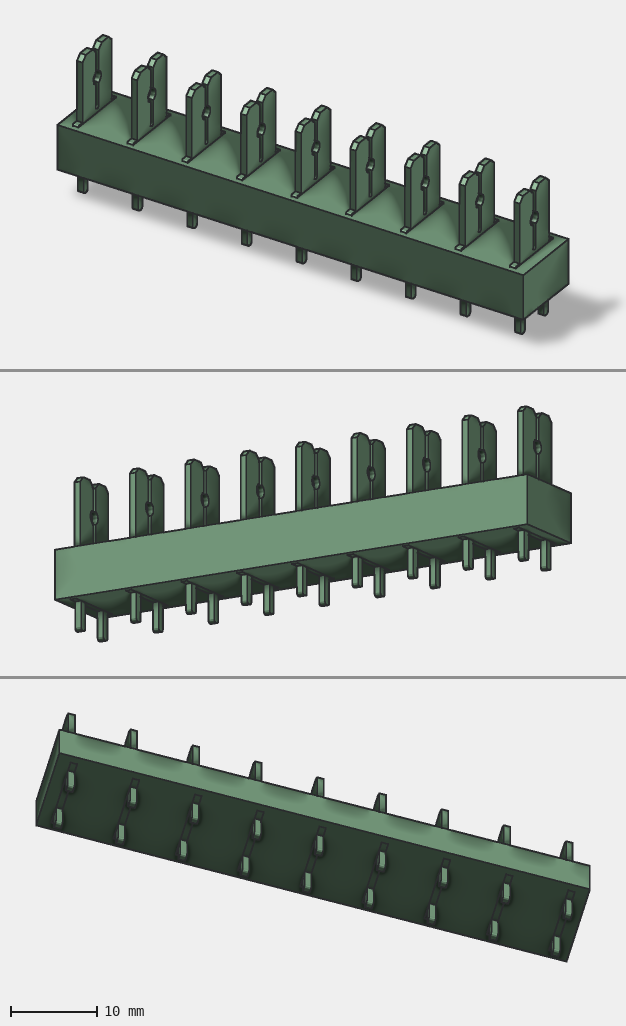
import cadquery as cq

housing_length = 64.0
housing_width = 9.8
housing_height = 6.0

contact_count = 9
end_margin = 2.0
contact_half_thickness = 0.4

shoulder_width = 8.1
shoulder_rise = 0.2
shoulder_corner_radius = 0.2

blade_width = 6.35
blade_rise = 8.95
blade_chamfer = 0.7
slit_width = 0.6
slit_floor_rise = 0.5
detent_diameter = 1.65
detent_rise = 4.7

tail_width = 0.95
tail_spacing = 5.0
tail_drop = 3.5
tail_corner_radius = 0.4

shoulder_top = housing_height + shoulder_rise
blade_top = housing_height + blade_rise
slit_floor = housing_height + slit_floor_rise
first_contact_x = end_margin - housing_length / 2
contact_pitch = (housing_length - 2 * end_margin) / (contact_count - 1)
contact_positions = [first_contact_x + index * contact_pitch for index in range(contact_count)]


def contact_plate(outline):
    """Extrude an outline drawn in Y and Z to the contact thickness, centred on X = 0."""
    return outline.extrude(contact_half_thickness, both=True)


def make_shoulder():
    """Plate that fills the housing slot and stands slightly proud of it, with rounded top corners."""
    outline = cq.Workplane("YZ").center(0, shoulder_top / 2).rect(shoulder_width, shoulder_top)
    return contact_plate(outline).edges("|X and >Z").fillet(shoulder_corner_radius)


def make_prong(side):
    """One half of the blade, on the side of the slit given by +1 or -1, with its tip chamfered."""
    inner = side * slit_width / 2
    outer = side * blade_width / 2
    chamfer = side * blade_chamfer
    outline = (
        cq.Workplane("YZ")
        .moveTo(inner, shoulder_top)
        .lineTo(outer, shoulder_top)
        .lineTo(outer, blade_top - blade_chamfer)
        .lineTo(outer - chamfer, blade_top)
        .lineTo(inner + chamfer, blade_top)
        .lineTo(inner, blade_top - blade_chamfer)
        .close()
    )
    return contact_plate(outline)


def make_slit_root():
    """Strip that joins the two prongs and closes the slit with a round floor."""
    half_slit = slit_width / 2
    arc_ends_height = slit_floor + half_slit
    outline = (
        cq.Workplane("YZ")
        .moveTo(-half_slit, shoulder_top)
        .lineTo(half_slit, shoulder_top)
        .lineTo(half_slit, arc_ends_height)
        .threePointArc((0, slit_floor), (-half_slit, arc_ends_height))
        .close()
    )
    return contact_plate(outline)


def make_detent_hole():
    """Round hole through the blade, centred on the slit."""
    outline = cq.Workplane("YZ").center(0, housing_height + detent_rise).circle(detent_diameter / 2)
    return contact_plate(outline)


def make_tail(side):
    """One solder tail, on the side given by +1 or -1, with its bottom corners rounded."""
    outline = cq.Workplane("YZ").center(side * tail_spacing / 2, -tail_drop / 2).rect(tail_width, tail_drop)
    return contact_plate(outline).edges("|X and <Z").fillet(tail_corner_radius)


def make_contact(x_position):
    """One flat contact: shoulder, split blade and two solder tails in a single solid."""
    contact = make_shoulder().union(make_slit_root())
    for side in (-1, 1):
        contact = contact.union(make_prong(side)).union(make_tail(side))
    return contact.cut(make_detent_hole()).translate((x_position, 0, 0))


def make_housing():
    """Bar with one through slot for the shoulder of each contact."""
    bar = cq.Workplane("XY").box(housing_length, housing_width, housing_height, centered=(True, True, False))
    slot_centres = [(x_position, 0) for x_position in contact_positions]
    slots = (
        cq.Workplane("XY")
        .pushPoints(slot_centres)
        .rect(2 * contact_half_thickness, shoulder_width)
        .extrude(housing_height)
    )
    return bar.cut(slots)


housing = make_housing()
contacts = [make_contact(x_position) for x_position in contact_positions]

result = cq.Compound.makeCompound([housing.val(), *[contact.val() for contact in contacts]])